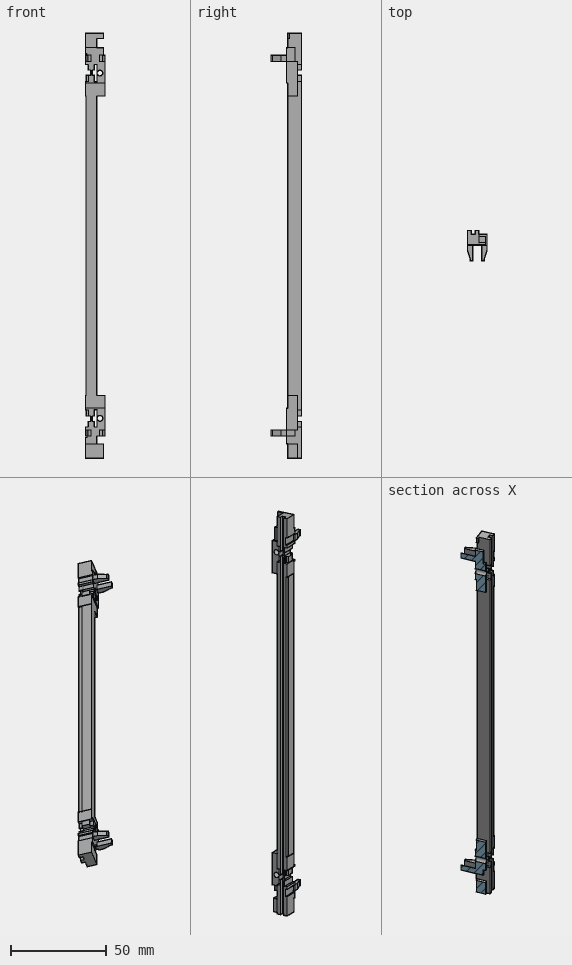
import cadquery as cq

LENGTH = 221.5
WIDTH = 10.2
TOTAL_DEPTH = 16.0

RAIL_WIDTH = 6.0
RIB_DEPTH = 2.0
RIB_WIDTH = 2.0
BODY_DEPTH = 7.3
CLIP_BODY_DEPTH = 8.0
SIDE_INSET = 0.78
HEAD_RIGHT = WIDTH - SIDE_INSET
RAIL_LEFT = 0.2
RAIL_RIB_LEFT = 0.7
UPPER_BODY_BACK = 3.3

LIP_END = 2.9
NECK_END = 7.5
CLIP_INSET_START = 10.9
ARM_START = 11.5
ARM_END = 14.8
SHELF_END = 16.5
GAP_START = 19.3
GAP_END = 22.0
SLIT_END = 25.3
CLIP_END = 26.1
BLOCK_END = 32.8

LIP_THICKNESS = 1.0
ARM_INNER = 2.9
ARM_TIP_OUTER = 1.45
ARM_TAPER_START = 10.6
ARM_TAPER_END = 15.0
STEM_LEFT = 1.3
SLIT_LEFT = 4.7
BRIDGE_LEFT = 2.7
BRIDGE_WIDTH = 0.9
STUB_LEFT = 1.5
PAD_LEFT = 0.33
PAD_FRONT = 6.0
HOLE_DIAMETER = 2.9
HOLE_X = 7.5
HOLE_STATION = 20.8


def block(left, right, back, front, start, end):
    """Box between two X values, two depths from the back and two stations from the top end."""
    return cq.Workplane("XY").box(right - left, front - back, end - start, centered=False).translate(
        (left, -front, LENGTH - end)
    )


def ribbed(left, right, front, start, end):
    """Box with the two back ribs, cut short at the left and right limits."""
    solid = block(left, right, RIB_DEPTH, front, start, end)
    solid = solid.union(block(left, RIB_WIDTH, 0, front, start, end))
    second_rib_right = min(right, RAIL_WIDTH)
    return solid.union(block(RAIL_WIDTH - RIB_WIDTH, second_rib_right, 0, front, start, end))


def clip_arm():
    """Left snap arm: straight inner face, outer face tapering towards the tip."""
    outline = [
        (0, -CLIP_BODY_DEPTH),
        (0, -ARM_TAPER_START),
        (ARM_TIP_OUTER, -ARM_TAPER_END),
        (ARM_TIP_OUTER, -TOTAL_DEPTH),
        (ARM_INNER, -TOTAL_DEPTH),
        (ARM_INNER, -CLIP_BODY_DEPTH),
    ]
    arm = cq.Workplane("XY").polyline(outline).close().extrude(ARM_END - ARM_START)
    return arm.translate((0, 0, LENGTH - ARM_END))


def clip_end():
    """Everything shared by both ends, from the neck to the wide block, placed at the top."""
    end = ribbed(0, RAIL_WIDTH, CLIP_BODY_DEPTH, NECK_END, CLIP_INSET_START)
    end = end.union(ribbed(SIDE_INSET, RAIL_WIDTH, CLIP_BODY_DEPTH, CLIP_INSET_START, ARM_END))
    end = end.union(
        block(RAIL_WIDTH, HEAD_RIGHT, UPPER_BODY_BACK, CLIP_BODY_DEPTH, ARM_START, ARM_END)
    )
    arm = clip_arm()
    end = end.union(arm)
    end = end.union(arm.mirror("YZ", (WIDTH / 2, 0, 0)))

    end = end.union(ribbed(0, WIDTH, CLIP_BODY_DEPTH, ARM_END, SHELF_END))
    end = end.union(ribbed(STEM_LEFT, SLIT_LEFT, CLIP_BODY_DEPTH, SHELF_END, GAP_START))
    bridge_right = BRIDGE_LEFT + BRIDGE_WIDTH
    end = end.union(
        block(BRIDGE_LEFT, bridge_right, RIB_DEPTH, CLIP_BODY_DEPTH, GAP_START, GAP_END)
    )

    end = end.union(ribbed(STUB_LEFT, SLIT_LEFT, CLIP_BODY_DEPTH, GAP_END, SLIT_END))
    end = end.union(block(PAD_LEFT, STUB_LEFT, RIB_DEPTH, PAD_FRONT, GAP_END, SLIT_END))

    end = end.union(block(RAIL_WIDTH, WIDTH, RIB_DEPTH, CLIP_BODY_DEPTH, SHELF_END, SLIT_END))
    end = end.union(ribbed(0, WIDTH, CLIP_BODY_DEPTH, SLIT_END, CLIP_END))
    end = end.union(ribbed(0, WIDTH, BODY_DEPTH, CLIP_END, BLOCK_END))
    hole = cq.Workplane("XZ").center(HOLE_X, LENGTH - HOLE_STATION).circle(HOLE_DIAMETER / 2)
    return end.cut(hole.extrude(TOTAL_DEPTH))


def flip(solid):
    """Mirror a solid built at the top end to the bottom end."""
    return solid.mirror("XY", (0, 0, LENGTH / 2))


rail = ribbed(RAIL_RIB_LEFT, RAIL_WIDTH, BODY_DEPTH, BLOCK_END, LENGTH - BLOCK_END)
rail = rail.union(
    block(RAIL_LEFT, RAIL_WIDTH, RIB_DEPTH, BODY_DEPTH, BLOCK_END, LENGTH - BLOCK_END)
)

top_head = ribbed(0, RAIL_WIDTH, BODY_DEPTH, 0, NECK_END)
top_head = top_head.union(
    block(RAIL_WIDTH, HEAD_RIGHT, BODY_DEPTH - LIP_THICKNESS, BODY_DEPTH, 0, LIP_END)
)
top_head = top_head.union(
    block(RAIL_WIDTH, HEAD_RIGHT, UPPER_BODY_BACK, CLIP_BODY_DEPTH, NECK_END, ARM_START)
)

bottom_head = flip(ribbed(0, HEAD_RIGHT, BODY_DEPTH, 0, NECK_END))

upper_end = clip_end()
result = rail.union(upper_end).union(flip(upper_end)).union(top_head).union(bottom_head)